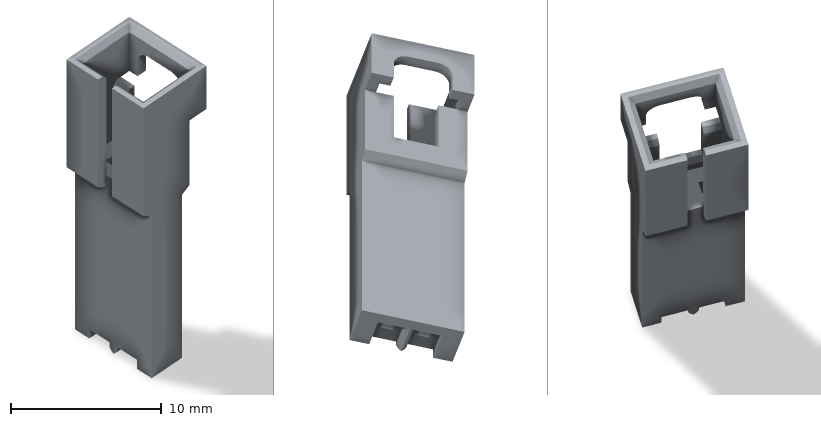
import cadquery as cq

WIDTH = 7.11
DEPTH = 5.99
HEIGHT = 24.26

HOOD_DROP = 3.81
FLARE_START_DROP = 9.50
FLARE_END_DROP = 9.92
HOUSING_BACK_Y = 4.37
BODY_FRONT_Y = 0.78
BODY_BACK_Y = 3.64

SIDE_WALL = 0.77
HOOD_BACK_WALL = 0.80
CAVITY_DROP = 8.90
RIM_WIDTH = 0.38
LEAD_IN_DROP = 0.38
FRONT_SLOT_WIDTH = 1.27

HOOD_WINDOW_DROP = 1.52
HOOD_WINDOW_WIDTH = 4.06
HOOD_WINDOW_RADIUS = 1.00
BACK_WINDOW_DROP = 7.78
BACK_WINDOW_WIDTH = 3.06
LEDGE_CHAMFER = 0.38

HOLE_SIZE = 0.85
HOLE_PITCH = 2.54
HOLE_Y = 2.18
NOTCH_WIDTH = 4.42
NOTCH_HEIGHT = 0.80
NOTCH_DEPTH = 2.10
NUB_WIDTH = 0.70
NUB_STRAIGHT_HEIGHT = 0.37
NUB_FLANK_RADIUS = 1.00

cavity_width = WIDTH - 2 * SIDE_WALL
cavity_back_y = DEPTH - HOOD_BACK_WALL
ledge_y = HOUSING_BACK_Y - LEDGE_CHAMFER
cavity_depth = cavity_back_y - BODY_FRONT_Y
floor_z = HEIGHT - CAVITY_DROP
hood_z = HEIGHT - HOOD_DROP
back_window_z = HEIGHT - BACK_WINDOW_DROP


def box(width, y_from, y_to, z_from, z_to, x_centre=0.0):
    """Block centred on x_centre between the given Y and Z limits."""
    depth = y_to - y_from
    height = z_to - z_from
    block = cq.Workplane("XY").box(width, depth, height, centered=(True, False, False))
    return block.translate((x_centre, y_from, z_from))


def extrude_across(side_profile, width):
    """Closed (Y, Z) outline extruded symmetrically along X."""
    return cq.Workplane("YZ").polyline(side_profile).close().extrude(width / 2, both=True)


def outer_block():
    """Narrow body that flares into the housing, with a hood behind the top."""
    flare_start_z = HEIGHT - FLARE_START_DROP
    flare_end_z = HEIGHT - FLARE_END_DROP
    profile = [
        (BODY_FRONT_Y, 0),
        (BODY_FRONT_Y, flare_end_z),
        (0, flare_start_z),
        (0, HEIGHT),
        (DEPTH, HEIGHT),
        (DEPTH, hood_z),
        (HOUSING_BACK_Y, hood_z),
        (HOUSING_BACK_Y, flare_start_z),
        (BODY_BACK_Y, flare_end_z),
        (BODY_BACK_Y, 0),
    ]
    return extrude_across(profile, WIDTH)


def cavity():
    """Plug cavity flush with the body's front face, stepped at the back.

    The lower back wall ends in a chamfered ledge, and the gap between that
    ledge and the hood is open underneath.
    """
    profile = [
        (BODY_FRONT_Y, floor_z),
        (BODY_FRONT_Y, HEIGHT),
        (cavity_back_y, HEIGHT),
        (cavity_back_y, hood_z),
        (ledge_y, hood_z),
        (BODY_BACK_Y, hood_z - LEDGE_CHAMFER),
        (BODY_BACK_Y, floor_z),
    ]
    return extrude_across(profile, cavity_width)


def lead_in():
    """Tapered mouth of the cavity, leaving a flat rim at the top."""
    mouth_width = WIDTH - 2 * RIM_WIDTH
    mouth_depth = DEPTH - 2 * RIM_WIDTH
    throat_centre_y = (BODY_FRONT_Y + cavity_back_y) / 2
    mouth_centre_y = DEPTH / 2
    return (
        cq.Workplane("XY", origin=(0, throat_centre_y, HEIGHT - LEAD_IN_DROP))
        .rect(cavity_width, cavity_depth)
        .workplane(offset=LEAD_IN_DROP)
        .center(0, mouth_centre_y - throat_centre_y)
        .rect(mouth_width, mouth_depth)
        .loft(ruled=True)
    )


def front_slot():
    """Slot through the front wall down to the narrow body."""
    slot_foot_z = HEIGHT - FLARE_END_DROP
    return box(FRONT_SLOT_WIDTH, 0, BODY_FRONT_Y, slot_foot_z, HEIGHT)


def hood_window():
    """Opening in the hood's back wall, open below, with rounded upper corners."""
    window = box(HOOD_WINDOW_WIDTH, cavity_back_y, DEPTH, hood_z, HEIGHT - HOOD_WINDOW_DROP)
    return window.edges("|Y and >Z").fillet(HOOD_WINDOW_RADIUS)


def back_window():
    """Opening in the lower back wall whose sill has a chamfered inner edge."""
    profile = [
        (BODY_BACK_Y, hood_z),
        (HOUSING_BACK_Y, hood_z),
        (HOUSING_BACK_Y, back_window_z),
        (ledge_y, back_window_z),
        (BODY_BACK_Y, back_window_z - LEDGE_CHAMFER),
    ]
    return extrude_across(profile, BACK_WINDOW_WIDTH)


def wire_hole(x_centre):
    """Square hole from the bottom end up into the cavity."""
    half = HOLE_SIZE / 2
    return box(HOLE_SIZE, HOLE_Y - half, HOLE_Y + half, 0, floor_z, x_centre)


def bottom_notch():
    """Notch in the front of the bottom end, around a central pointed nub."""
    back_y = BODY_FRONT_Y + NOTCH_DEPTH
    nub_half = NUB_WIDTH / 2
    shoulder_z = NOTCH_HEIGHT - NUB_STRAIGHT_HEIGHT
    nub = (
        cq.Workplane("XZ", origin=(0, BODY_FRONT_Y, 0))
        .moveTo(-nub_half, NOTCH_HEIGHT)
        .lineTo(-nub_half, shoulder_z)
        .radiusArc((0, 0), -NUB_FLANK_RADIUS)
        .radiusArc((nub_half, shoulder_z), -NUB_FLANK_RADIUS)
        .lineTo(nub_half, NOTCH_HEIGHT)
        .close()
        .extrude(-NOTCH_DEPTH)
    )
    return box(NOTCH_WIDTH, BODY_FRONT_Y, back_y, 0, NOTCH_HEIGHT).cut(nub)


result = outer_block().cut(cavity()).cut(lead_in()).cut(front_slot())
result = result.cut(hood_window()).cut(back_window()).cut(bottom_notch())
for side in (-1, 1):
    result = result.cut(wire_hole(side * HOLE_PITCH / 2))